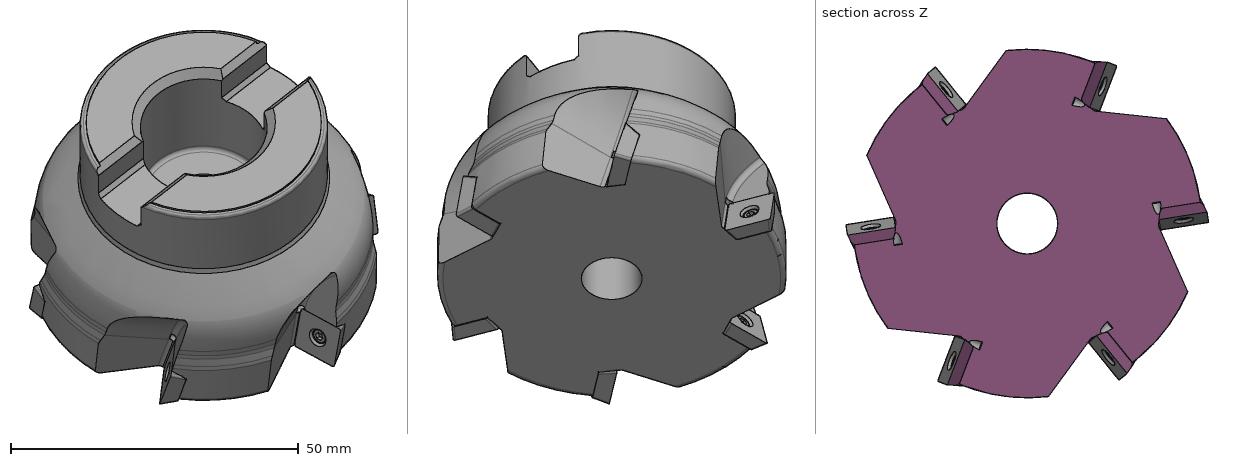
import cadquery as cq
import math


total_height = 40.0
hub_radius = 43.0 / 2
hub_bottom_z = 25.9
rim_land_radius = 20.9
rim_round_height = 0.55
seat_ring_radius = 20.4
seat_ring_height = 0.4
neck_radius = 21.85
neck_z = 25.1
dome_radius = 29.5
dome_bottom_z = 13.1
dome_curve_points = [(27.7, 19.55), (25.1, 22.25)]
groove_z = 12.0
skirt_radius = 60.55 / 2
skirt_top_z = 8.95
skirt_cone_top = (29.6, 11.15)
skirt_cone_bottom = (30.05, 9.7)
body_bottom_z = 0.3
bottom_round = 0.95

bore_diameter = 22.0
bore_depth = 20.15
bore_chamfer = 1.45
bore_floor_fillet = 0.75
bolt_hole_diameter = 10.5
slot_width = 10.35
slot_depth = 6.7
slot_top_chamfer = 1.2
slot_floor_chamfer = 0.75

tooth_count = 6
tooth_pitch = 360 / tooth_count
axial_rake = math.radians(14)
radial_rake = math.radians(9)
cutting_radius = 63 / 2
tip_offset = 0.2
insert_side = 8.45
insert_thickness = 2.95
insert_relief = 17
insert_corner_radius = 0.45
edge_lean = math.sin(axial_rake) * math.sin(radial_rake)
tip_radius = cutting_radius + insert_corner_radius * edge_lean
countersink_diameter = 3.45
screw_hole_diameter = 2.8
countersink_depth = 0.5
screw_head_diameter = 2.5
screw_gap_depth = 0.25
socket_diameter = 1.5
socket_depth = 0.75
corner_relief_radius = 0.75
flute_wall = -8.95
flute_straight_height = 7.5
flute_arc_radius = 16.4
flute_arc_angle = 65
flute_depth_below = 10.1
flute_clearance = 9.45
flute_fillet = 0.9
seat_opening_depth = 0.4
corner_relief_front = 0.95
flute_direction = cq.Vector(0.42, -0.9, 0.31)
flute_length = 17.65
position_tolerance = 0.0005

rake_plane = cq.Plane(
    origin=(tip_radius, tip_offset, 0),
    xDir=(math.cos(radial_rake), math.sin(radial_rake), 0),
    normal=(
        math.sin(radial_rake) * math.cos(axial_rake),
        -math.cos(radial_rake) * math.cos(axial_rake),
        math.sin(axial_rake),
    ),
)


def point_on_circle(center, radius, angle):
    """Point on a circle, with the angle in degrees."""
    turn = math.radians(angle)
    return (center[0] + radius * math.cos(turn), center[1] + radius * math.sin(turn))


def make_blank():
    """Revolved cutter body with a domed shoulder."""
    ring_z = total_height - seat_ring_height
    neck_bottom = (neck_radius, neck_z)
    rim_z = ring_z - rim_round_height
    return (
        cq.Workplane("XZ")
        .moveTo(0, body_bottom_z)
        .lineTo(skirt_radius - bottom_round, body_bottom_z)
        .radiusArc((skirt_radius, body_bottom_z + bottom_round), -bottom_round)
        .lineTo(skirt_radius, skirt_top_z)
        .lineTo(*skirt_cone_bottom)
        .lineTo(*skirt_cone_top)
        .lineTo(dome_radius, groove_z)
        .lineTo(dome_radius, dome_bottom_z)
        .spline(
            dome_curve_points + [neck_bottom],
            tangents=[(0, 1), (-1, 1)],
            includeCurrent=True,
        )
        .lineTo(hub_radius, hub_bottom_z)
        .lineTo(hub_radius, rim_z)
        .radiusArc((rim_land_radius, ring_z), -rim_round_height)
        .lineTo(seat_ring_radius, ring_z)
        .lineTo(seat_ring_radius, total_height)
        .lineTo(0, total_height)
        .close()
        .revolve(360, (0, 0, 0), (0, 1, 0))
    )


def make_bore():
    """Stepped arbor bore: chamfered mouth, filleted floor and a bolt hole below."""
    radius = bore_diameter / 2
    bore = (
        cq.Workplane("XY", origin=(0, 0, total_height - bore_depth))
        .circle(radius)
        .extrude(bore_depth)
        .faces("<Z")
        .edges()
        .fillet(bore_floor_fillet)
    )
    mouth = cq.Solid.makeCone(
        radius, radius + bore_chamfer, bore_chamfer, pnt=cq.Vector(0, 0, total_height - bore_chamfer)
    )
    bolt_hole = cq.Workplane("XY").circle(bolt_hole_diameter / 2).extrude(total_height)
    return bore.union(cq.Workplane(mouth)).union(bolt_hole)


def make_drive_slot():
    """Key slot across the hub along Y, with chamfered mouth and floor corners."""
    half = slot_width / 2
    floor_z = total_height - slot_depth
    right_side = [
        (half - slot_floor_chamfer, floor_z),
        (half, floor_z + slot_floor_chamfer),
        (half, total_height - slot_top_chamfer),
        (half + slot_top_chamfer, total_height),
    ]
    left_side = [(-x, z) for x, z in reversed(right_side)]
    return cq.Workplane("XZ").polyline(right_side + left_side).close().extrude(neck_radius, both=True)


def is_on_rake_plane(vertex):
    """True for a vertex that lies in the plane of the insert face."""
    return abs(rake_plane.toLocalCoords(vertex.Center()).z) < position_tolerance


def make_flute():
    """Chip flute: a flared section on the rake plane, extended obliquely out of the body."""
    arc_center = (flute_wall + flute_arc_radius, flute_straight_height)
    arc_mid = point_on_circle(arc_center, flute_arc_radius, 180 - flute_arc_angle / 2)
    arc_end = point_on_circle(arc_center, flute_arc_radius, 180 - flute_arc_angle)
    section = (
        cq.Workplane(rake_plane)
        .moveTo(flute_wall, -flute_depth_below)
        .lineTo(flute_wall, flute_straight_height)
        .threePointArc(arc_mid, arc_end)
        .lineTo(flute_clearance, arc_end[1])
        .lineTo(flute_clearance, -flute_depth_below)
        .close()
        .wires()
        .val()
    )
    tool = cq.Solid.extrudeLinear(section, [], flute_direction * flute_length)
    wall_edge_limit = flute_wall + flute_arc_radius / 2
    wall_edges = [
        edge
        for edge in tool.Edges()
        if all(is_on_rake_plane(vertex) for vertex in edge.Vertices())
        and rake_plane.toLocalCoords(edge.Center()).x < wall_edge_limit
    ]
    return cq.Workplane(tool.fillet(flute_fillet, wall_edges))


def make_insert_blank():
    """Square insert with rounded corners; the sides draw in toward the back."""
    blank = (
        cq.Workplane("XY")
        .center(-insert_side / 2, insert_side / 2)
        .rect(insert_side, insert_side)
        .extrude(-insert_thickness, taper=insert_relief)
        .edges("not #Z")
        .fillet(insert_corner_radius)
    )
    return cq.Workplane(blank.val().moved(cq.Location(rake_plane)))


def make_insert():
    """Insert with a countersink, the clamped screw head and its hexagon socket."""
    center_plane = cq.Workplane(rake_plane).center(-insert_side / 2, insert_side / 2)
    countersink = cq.Workplane(
        cq.Solid.makeCone(
            countersink_diameter / 2,
            screw_hole_diameter / 2,
            countersink_depth,
            pnt=center_plane.plane.origin,
            dir=-rake_plane.zDir,
        )
    )
    head_plane = center_plane.workplane(offset=-countersink_depth)
    screw_gap = (
        head_plane.circle(screw_hole_diameter / 2).circle(screw_head_diameter / 2).extrude(-screw_gap_depth)
    )
    socket = head_plane.polygon(6, socket_diameter).extrude(-socket_depth)
    return make_insert_blank().cut(countersink).cut(screw_gap).cut(socket)


def make_seat():
    """Insert seat, kept clear in front of the insert and drilled at its inner upper corner."""
    face_plane = cq.Workplane(rake_plane)
    opening = (
        face_plane
        .center(-insert_side / 2, insert_side / 2)
        .rect(insert_side, insert_side)
        .extrude(seat_opening_depth)
    )
    corner_relief = (
        face_plane
        .workplane(offset=-insert_thickness)
        .center(-insert_side, insert_side)
        .circle(corner_relief_radius)
        .extrude(insert_thickness + corner_relief_front)
    )
    return make_insert_blank().union(opening).union(corner_relief)


def at_tooth(shape, index):
    """Turn a shape of the tooth at +X to another tooth."""
    return shape.rotate((0, 0, 0), (0, 0, 1), index * tooth_pitch)


insert = make_insert()
tooth_cuts = [make_flute(), make_seat()]

cutter_body = make_blank().cut(make_bore()).cut(make_drive_slot())
for tooth in range(tooth_count):
    for tooth_cut in tooth_cuts:
        cutter_body = cutter_body.cut(at_tooth(tooth_cut, tooth))

inserts = [at_tooth(insert, tooth).val() for tooth in range(tooth_count)]

result = cq.Compound.makeCompound([cutter_body.val(), *inserts])